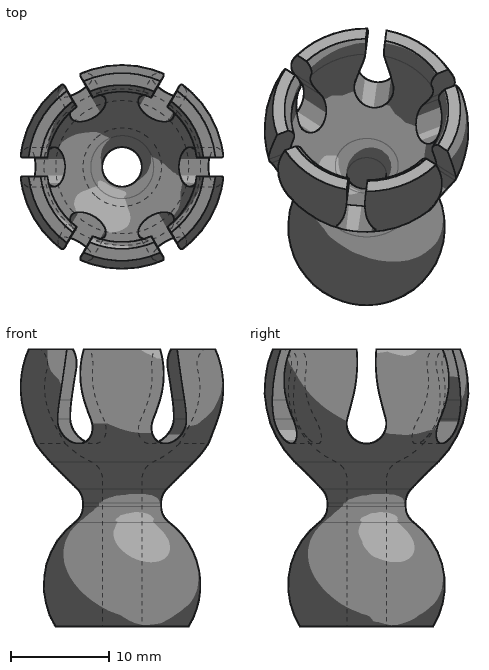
import cadquery as cq
import math

height = 28.25
ball_radius = 8.0
ball_center_z = 4.25
neck_radius = 8.0 / 2
bore_radius = 4.0 / 2
blend_radius = 2.0
socket_center_z = 24.15
socket_outer_radius = 20.78 / 2
socket_inner_radius = ball_radius
lip_throat_radius = 7.65
slot_count = 6
slot_end_radius = 2.0
slot_end_z = 20.65
slot_half_gap = 0.93
slot_gap_z = 26.9
slot_flank_radius = 15.0
slot_length = 14.12
overshoot = 1.4


def arc_point(center, radius, degrees):
    """Point on a circle at an angle measured from the positive first axis."""
    angle = math.radians(degrees)
    return (center[0] + radius * math.cos(angle), center[1] + radius * math.sin(angle))


def direction(start, end):
    """Angle in degrees from one point towards another."""
    return math.degrees(math.atan2(end[1] - start[1], end[0] - start[0]))


def add_arc(profile, center, radius, start, end):
    """Continue a profile along an arc between two angles."""
    middle = arc_point(center, radius, (start + end) / 2)
    return profile.threePointArc(middle, arc_point(center, radius, end))


def blend_center_height(sphere_radius, center_radius):
    """Axial distance from a sphere center to a blend that touches it from the other side."""
    return math.sqrt((sphere_radius + blend_radius) ** 2 - center_radius**2)


def make_body():
    """Truncated ball, filleted neck, 45 degree flare and spherical socket exterior."""
    ball_center = (0, ball_center_z)
    socket_center = (0, socket_center_z)
    waist_x = neck_radius + blend_radius
    lower_blend = (waist_x, ball_center_z + blend_center_height(ball_radius, waist_x))

    flare_angle = -45
    flare_reach = (socket_outer_radius + blend_radius) * math.sqrt(2)
    upper_blend = (waist_x, socket_center_z - flare_reach + waist_x)

    base_angle = -math.degrees(math.asin(ball_center_z / ball_radius))
    ball_top_angle = direction(ball_center, lower_blend)
    rim_angle = math.degrees(math.asin((height - socket_center_z) / socket_outer_radius))

    profile = cq.Workplane("XZ").moveTo(0, 0)
    profile = profile.lineTo(*arc_point(ball_center, ball_radius, base_angle))
    profile = add_arc(profile, ball_center, ball_radius, base_angle, ball_top_angle)
    profile = add_arc(profile, lower_blend, blend_radius, 180 + ball_top_angle, 180)
    profile = profile.lineTo(neck_radius, upper_blend[1])
    profile = add_arc(profile, upper_blend, blend_radius, 180, 180 + flare_angle)
    profile = profile.lineTo(*arc_point(socket_center, socket_outer_radius, flare_angle))
    profile = add_arc(profile, socket_center, socket_outer_radius, flare_angle, rim_angle)
    return profile.lineTo(0, height).close().revolve(360, (0, 0, 0), (0, 1, 0))


def make_cavity():
    """Through bore and spherical seat, blended at the bore mouth and the socket lip."""
    seat_center = (0, socket_center_z)
    mouth_x = bore_radius + blend_radius
    mouth = (mouth_x, socket_center_z - blend_center_height(socket_inner_radius, mouth_x))
    lip_x = lip_throat_radius + blend_radius
    lip = (lip_x, socket_center_z + blend_center_height(socket_inner_radius, lip_x))

    mouth_angle = direction(seat_center, mouth)
    lip_angle = direction(seat_center, lip)
    opening_angle = 180 - math.degrees(math.asin((height - lip[1]) / blend_radius))

    profile = cq.Workplane("XZ").moveTo(0, -overshoot).lineTo(bore_radius, -overshoot)
    profile = profile.lineTo(bore_radius, mouth[1])
    profile = add_arc(profile, mouth, blend_radius, 180, 180 + mouth_angle)
    profile = add_arc(profile, seat_center, socket_inner_radius, mouth_angle, lip_angle)
    profile = add_arc(profile, lip, blend_radius, 180 + lip_angle, opening_angle)
    return profile.lineTo(0, height).close().revolve(360, (0, 0, 0), (0, 1, 0))


def make_slot():
    """Keyhole slot along +X: round end, straight tangents and curved flanks to the rim."""
    end_center = (0, slot_end_z)
    flank = (slot_half_gap + slot_flank_radius, slot_gap_z)
    spacing = math.dist(end_center, flank)
    tangent_turn = math.degrees(math.acos((slot_end_radius + slot_flank_radius) / spacing))
    tangent_angle = direction(end_center, flank) - tangent_turn
    rim_angle = 180 - math.degrees(math.asin((height - slot_gap_z) / slot_flank_radius))

    half = cq.Workplane("YZ").moveTo(0, slot_end_z - slot_end_radius)
    half = add_arc(half, end_center, slot_end_radius, -90, tangent_angle)
    half = half.lineTo(*arc_point(flank, slot_flank_radius, 180 + tangent_angle))
    half = add_arc(half, flank, slot_flank_radius, 180 + tangent_angle, rim_angle)
    half = half.lineTo(0, height).close().extrude(slot_length)
    return half.union(half.mirror("XZ"))


result = make_body().cut(make_cavity())
slot = make_slot()
for index in range(slot_count):
    result = result.cut(slot.rotate((0, 0, 0), (0, 0, 1), index * 360 / slot_count))